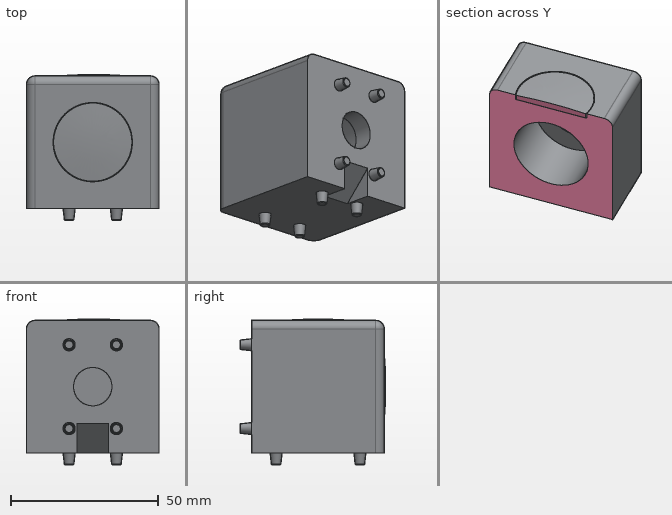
import cadquery as cq

side = 45.0
half = side / 2
edge_radius = 3.0

pin_length = 4.0
pin_base_diameter = 4.15
pin_tip_diameter = 3.3
pin_tip_chamfer = 0.3
pin_offset_x = 8.0
pin_offset_across = 14.2

front_hole_diameter = 13.0
front_wall = 7.0

notch_width = 10.65
notch_leg = 10.1

overall_height = 49.45
dome_rise = overall_height - side - pin_length
rim_drop = 0.15
bore_diameter = 26.9
cap_diameter = 26.5
cap_edge_thickness = 2.0
back_bore_depth = side - front_wall


def face_down(shape):
    """Move a shape built pointing up from z = 0 onto the bottom face, pointing down."""
    return shape.rotate((0, 0, 0), (1, 0, 0), 180).translate((0, 0, -half))


def quarter_turn(shape):
    """Turn a shape about X, taking the bottom face to the front and the top face to the back."""
    return shape.rotate((0, 0, 0), (1, 0, 0), -90)


def make_block():
    """Cube with the upright back edges and the top edges rounded, save the front one."""
    block = cq.Workplane("XY").box(side, side, side)
    rounded_edges = block.edges("|Z and >Y").add(block.edges(">Z and (not <Y)"))
    return rounded_edges.fillet(edge_radius)


def make_pin():
    """Tapered pin with a chamfered tip, standing on z = 0."""
    base_radius = pin_base_diameter / 2
    tip_radius = pin_tip_diameter / 2
    return (
        cq.Workplane("XZ")
        .lineTo(base_radius, 0)
        .lineTo(tip_radius, pin_length - pin_tip_chamfer)
        .lineTo(tip_radius - pin_tip_chamfer, pin_length)
        .lineTo(0, pin_length)
        .close()
        .revolve(360, (0, 0, 0), (0, 1, 0))
    )


def make_notch():
    """Triangular wedge that cuts the front bottom edge at 45 degrees."""
    return (
        cq.Workplane("YZ")
        .moveTo(-half, -half)
        .lineTo(-half + notch_leg, -half)
        .lineTo(-half, -half + notch_leg)
        .close()
        .extrude(notch_width / 2, both=True)
    )


def make_bore(depth):
    """Round blind bore sunk into the top face."""
    floor = cq.Workplane("XY").workplane(offset=half - depth)
    return floor.circle(bore_diameter / 2).extrude(depth)


def make_front_hole():
    """Round opening through the front wall into the wide back bore."""
    hole = cq.Workplane("XZ", origin=(0, -half, 0)).circle(front_hole_diameter / 2)
    return hole.extrude(-front_wall)


def make_housing():
    """Block with notch, front hole, cap bores and integral pins."""
    housing = make_block().cut(make_notch())
    housing = housing.cut(make_bore(cap_edge_thickness))
    housing = housing.cut(quarter_turn(make_bore(back_bore_depth)))
    housing = housing.cut(make_front_hole())
    for x in (-pin_offset_x, pin_offset_x):
        for across in (-pin_offset_across, pin_offset_across):
            bottom_pin = face_down(make_pin()).translate((x, across, 0))
            housing = housing.union(bottom_pin).union(quarter_turn(bottom_pin))
    return housing


def make_cap():
    """Disc with a shallow spherical dome, resting on the floor of the top bore."""
    radius = cap_diameter / 2
    dome_height = dome_rise + rim_drop
    dome_radius = (radius**2 + dome_height**2) / (2 * dome_height)
    mid_x = radius / 2
    mid_z = half + dome_rise - dome_radius + (dome_radius**2 - mid_x**2) ** 0.5
    return (
        cq.Workplane("XZ")
        .moveTo(0, half - cap_edge_thickness)
        .lineTo(radius, half - cap_edge_thickness)
        .lineTo(radius, half - rim_drop)
        .threePointArc((mid_x, mid_z), (0, half + dome_rise))
        .close()
        .revolve(360, (0, 0, 0), (0, 1, 0))
    )


housing = make_housing()
caps = [make_cap(), quarter_turn(make_cap())]

result = cq.Compound.makeCompound([housing.val(), *[cap.val() for cap in caps]])